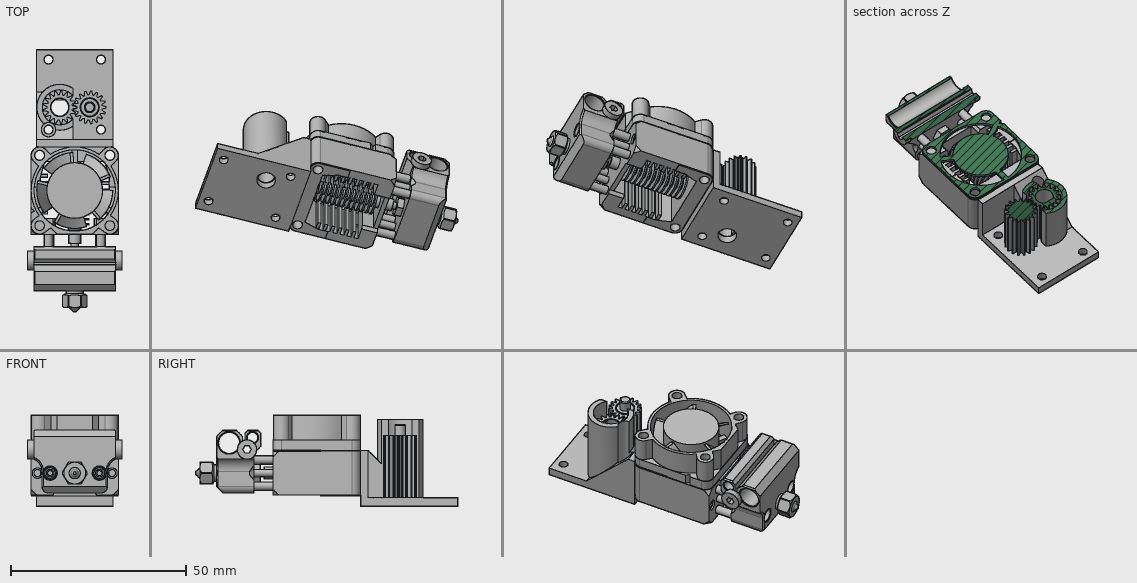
import cadquery as cq
import math


overall_length = 74.8

plate_width = 21.85
plate_length = 27.75
plate_bottom = -9.5
plate_top = -7.0
wall_thickness = 2.1
gusset_right = -0.5
plate_hole_diameter = 2.5
plate_hole_x = 7.5
plate_hole_rows = (4.9, 24.9)
screw_access_diameter = 4.1
tube_outer = 13.1
tube_inner = 10.0
tube_top = 15.3

gear_y = 11.3
gear_x = 4.3
teeth = 17
tip_radius = 4.7
root_radius = 3.6
tip_fraction = 0.2
root_fraction = 0.76
gear_top = 10.8
bore_diameter = 5.0
bore_flat = 2.0
bore_chamfer = 0.15
shaft_diameter = 3.1
shaft_top = 13.9
shaft_chamfer = 0.3
ring_groove_width = 0.2
ring_groove_depth = 0.2

sink_size = 25.0
sink_half_height = 6.5
sink_step = 0.2
sink_step_y = -11.4
back_corner_radius = 2.5
corner_cut = 1.65
window_back = -4.2
window_front = -20.35
window_half_width = 9.8
window_back_half_width = 8.5
window_taper_end = -8.6
fin_pitch = 2.1
fin_thickness = 0.9
fin_inner_x = 7.7
wall_fins = 7
channel_front = -23.6
channel_half_width = 5.5
channel_mouth = 6.4
channel_taper_height = 1.2
core_fin_diameter = 8.0
core_fin_thickness = 0.45
core_fin_pitch = 1.4
core_fins = 13
side_hole_x = 10.6
side_hole_diameter = 3
side_hole_depth = 0.5
side_hole_pilot = 2.0
side_hole_pilot_depth = 6

heat_break_diameter = 3.5
heat_break_end = -27.5
neck_diameter = 2.2
neck_end = -28.6
heat_break_hex = 5.0
rod_diameter = 2.5
rod_x = 7.5
rod_z = 3.75
screw_x = 7.0
screw_diameter = 2.2
screw_head_diameter = 3.1
screw_head_length = 1.5
socket_diameter = 2.2
socket_depth = 0.75
socket_core_diameter = 1.4
socket_core_depth = 0.75

block_width = 23.35
block_back = -30.45
block_front = -41.1
block_bottom = -5.7
block_top = 12.35
block_chamfer = 1.9
sensor_lobe_back = -28.4
sensor_lobe_low_z = 7.6
sensor_lobe_chamfer = 1.0
slot_back = -33.0
slot_front = -33.65
block_lower_half_width = 9.35
flank_radius = 3.9
flank_z = 0.45
block_bottom_radius = 1.9
front_bevel = 0.45
end_bevel = 0.4
bore_bevel = 0.2
cartridge_diameter = 6
cartridge_y = -37.5
cartridge_z = 8.6
sensor_diameter = 3
sensor_y = -30.8
sensor_z = 10.1
clamp_head_diameter = 5.5
clamp_head_length = 27.0
clamp_socket_diameter = 2.3
clamp_y = -32.4
clamp_z = 6.7
counterbore_diameter = 3.75
counterbore_depth = 6
counterbore_mouth = 4.1
counterbore_bevel = 0.2
driver_notch_radius = 2.25
driver_notch_depth = 2.9

nozzle_neck_diameter = 4.85
nozzle_hex_back = -41.75
nozzle_hex_front = -45.85
nozzle_hex = 6.3
nozzle_round = 7.1
nozzle_front_chamfer = 0.45
nozzle_back_taper = 0.7
tip_base_diameter = 3.2
tip_middle_diameter = 2.1
tip_middle = -46.3
tip_end_diameter = 0.8
tip_end = plate_length - overall_length

fan_y = -12.4
fan_top = 16.5
flange_top = 9.5
lug_offset = 10.0
lug_radius = 2.4
back_lug_angle = 45
front_lug_angle = 36
lug_neck_length = 3.75
fan_hole_diameter = 2.8
ring_outer_radius = 12.4
ring_inner_radius = 11.6
pad_half_width = 5.1
pad_flare = 2.25
wire_notch_back = -17.35
wire_notch_deepest = -18.3
wire_notch_front = -18.85
wire_notch_depth = 1.0
motor_radius = 7.9
motor_plate_thickness = 1.2
strut_width = 1.65
struts = 3
hub_top = 16.4
blades = 5
blade_radius = 10.85
blade_root_depth = 0.75
blade_width = 0.8
blade_bottom = 8.6
blade_top = 15.6
blade_sweep = 47
blade_top_angle = 95


def box(x0, x1, y0, y1, z0, z1):
    """A box between two opposite corners."""
    return cq.Workplane("XY").box(x1 - x0, y1 - y0, z1 - z0, centered=False).translate((x0, y0, z0))


def post(x, y, diameter, z0, z1):
    """A vertical cylinder."""
    return cq.Workplane("XY", origin=(x, y, z0)).circle(diameter / 2).extrude(z1 - z0)


def rod(x, z, diameter, y_back, y_front):
    """A cylinder along the filament direction."""
    return cq.Workplane("XZ", origin=(x, y_back, z)).circle(diameter / 2).extrude(y_back - y_front)


def hex_rod(across_flats, y_back, y_front):
    """A hexagonal bar on the filament axis, with flats at the top and bottom."""
    corner_diameter = across_flats / math.cos(math.pi / 6)
    return cq.Workplane("XZ", origin=(0, y_back, 0)).polygon(6, corner_diameter).extrude(y_back - y_front)


def cross_bore(y, z, diameter):
    """A cutter for a bore along X through the heater block, bevelled at both ends."""
    half_width = block_width / 2
    radius = diameter / 2
    mouth = radius + bore_bevel
    return (
        cq.Workplane("XY")
        .moveTo(-half_width, 0)
        .lineTo(-half_width, mouth)
        .lineTo(-half_width + bore_bevel, radius)
        .lineTo(half_width - bore_bevel, radius)
        .lineTo(half_width, mouth)
        .lineTo(half_width, 0)
        .close()
        .revolve(360, (0, 0, 0), (1, 0, 0))
        .translate((0, y, z))
    )


def make_bracket():
    half_width = plate_width / 2
    body = box(-half_width, half_width, 0, plate_length, plate_bottom, plate_top)
    body = body.union(box(-half_width, half_width, 0, wall_thickness, plate_top, sink_half_height))
    slope_run = sink_half_height - plate_top
    gusset = (
        cq.Workplane("YZ", origin=(-half_width, 0, 0))
        .moveTo(wall_thickness, plate_top)
        .lineTo(wall_thickness + slope_run, plate_top)
        .lineTo(wall_thickness, sink_half_height)
        .close()
        .extrude(gusset_right + half_width)
    )
    tube = post(-gear_x, gear_y, tube_outer, plate_top, tube_top)
    beyond_gusset = box(gusset_right, half_width, wall_thickness, plate_length, plate_top, tube_top)
    body = body.union(gusset).union(tube.cut(beyond_gusset))
    body = body.cut(post(-gear_x, gear_y, tube_inner, plate_top, tube_top))
    body = body.cut(post(-gear_x, gear_y, bore_diameter + 2 * bore_chamfer, plate_bottom, plate_top))
    for y in plate_hole_rows:
        for x in (-plate_hole_x, plate_hole_x):
            body = body.cut(post(x, y, plate_hole_diameter, plate_bottom, plate_top))
    return body.cut(post(-plate_hole_x, plate_hole_rows[0], screw_access_diameter, plate_top, tube_top))


def make_gear_blank(x):
    """A straight-toothed gear standing on the plate, one tooth pointing along +X."""
    pitch = 2 * math.pi / teeth
    tip_half = tip_fraction * pitch / 2
    root_half = root_fraction * pitch / 2
    outline = []
    for tooth in range(teeth):
        for radius, offset in (
            (root_radius, -root_half),
            (tip_radius, -tip_half),
            (tip_radius, tip_half),
            (root_radius, root_half),
        ):
            angle = tooth * pitch + offset
            outline.append((radius * math.cos(angle), radius * math.sin(angle)))
    workplane = cq.Workplane("XY", origin=(x, gear_y, plate_top))
    return workplane.polyline(outline).close().extrude(gear_top - plate_top)


def make_driven_gear():
    """The gear in the tube, with a bore flattened on its +Y side."""
    bore_radius = bore_diameter / 2
    bore = post(-gear_x, gear_y, bore_diameter, plate_top, gear_top)
    flat_y = gear_y + bore_flat
    beyond_flat = box(-gear_x - bore_radius, -gear_x + bore_radius, flat_y, flat_y + bore_radius,
                      plate_top, gear_top)
    mouth = (
        cq.Workplane("XY", origin=(-gear_x, gear_y, gear_top - bore_chamfer))
        .circle(bore_radius)
        .workplane(offset=bore_chamfer)
        .circle(bore_radius + bore_chamfer)
        .loft()
    )
    return make_gear_blank(-gear_x).cut(bore.cut(beyond_flat)).cut(mouth)


def make_pinion():
    """The second gear with its solid shaft."""
    shaft = post(gear_x, gear_y, shaft_diameter, gear_top, shaft_top).faces(">Z").chamfer(shaft_chamfer)
    groove_bottom = gear_top - ring_groove_depth
    groove_outer = bore_diameter + 2 * ring_groove_width
    groove = post(gear_x, gear_y, groove_outer, groove_bottom, gear_top)
    groove = groove.cut(post(gear_x, gear_y, bore_diameter, groove_bottom, gear_top))
    return make_gear_blank(gear_x).cut(groove).union(shaft)


def clipped_corner(x_side, z_side):
    """A pyramid that cuts one front corner off the heat sink."""
    x = x_side * sink_size / 2
    z = z_side * (sink_half_height - sink_step)
    corner = cq.Vector(x, -sink_size, z)
    ends = (
        cq.Vector(x - x_side * corner_cut, -sink_size, z),
        cq.Vector(x, -sink_size + corner_cut, z),
        cq.Vector(x, -sink_size, z - z_side * corner_cut),
    )
    triangles = [ends] + [(corner, ends[i], ends[(i + 1) % 3]) for i in range(3)]
    faces = [cq.Face.makeFromWires(cq.Wire.makePolygon(list(t), close=True)) for t in triangles]
    return cq.Workplane(cq.Solid.makeSolid(cq.Shell.makeShell(faces)))


def make_channel():
    """The cutter for the front of the air passage, with flared top and bottom mouths."""
    taper_z = sink_half_height - channel_taper_height
    half_outline = [
        (channel_mouth, sink_half_height),
        (channel_half_width, taper_z),
        (channel_half_width, -taper_z),
        (channel_mouth, -sink_half_height),
    ]
    outline = half_outline + [(-x, z) for x, z in reversed(half_outline)]
    channel = cq.Workplane("XZ", origin=(0, window_front, 0)).polyline(outline).close()
    channel = channel.extrude(sink_size + window_front)
    front_web = box(-sink_size / 2, sink_size / 2, -sink_size, channel_front, -taper_z, taper_z)
    return channel.cut(front_web)


def make_sink_block():
    half_size = sink_size / 2
    body = box(-half_size, half_size, -sink_size, 0, -sink_half_height, sink_half_height)
    body = body.edges("|Z and >Y").fillet(back_corner_radius)
    body = body.faces(">Z or <Z").edges().chamfer(sink_step)
    low_z = sink_half_height - sink_step
    for z0, z1 in ((low_z, sink_half_height), (-sink_half_height, -low_z)):
        body = body.cut(box(-half_size, half_size, -sink_size, sink_step_y, z0, z1))
    for x_side in (-1, 1):
        for z_side in (-1, 1):
            body = body.cut(clipped_corner(x_side, z_side))
        body = body.cut(post(x_side * lug_offset, fan_y + lug_offset, fan_hole_diameter,
                             -sink_half_height, sink_half_height))
        hole_x = x_side * side_hole_x
        body = body.cut(rod(hole_x, 0, side_hole_diameter, -sink_size + side_hole_depth, -sink_size))
        body = body.cut(rod(hole_x, 0, side_hole_pilot, -sink_size + side_hole_pilot_depth, -sink_size))
    window = (
        cq.Workplane("XY", origin=(0, 0, -sink_half_height))
        .moveTo(-window_back_half_width, window_back)
        .lineTo(window_back_half_width, window_back)
        .lineTo(window_half_width, window_taper_end)
        .lineTo(window_half_width, window_front)
        .lineTo(-window_half_width, window_front)
        .lineTo(-window_half_width, window_taper_end)
        .close()
        .extrude(2 * sink_half_height)
    )
    body = body.cut(window)
    return body.cut(make_channel())


def make_heat_sink():
    """The finned block with the heat break, spacer rods and clamp screws that carry the heater block."""
    body = make_sink_block()
    low_z = sink_half_height - sink_step
    for i in range(1, wall_fins):
        y = window_front + i * fin_pitch
        for x0, x1 in ((-window_half_width, -fin_inner_x), (fin_inner_x, window_half_width)):
            body = body.union(box(x0, x1, y - fin_thickness, y, -low_z, low_z))
    body = body.union(rod(0, 0, heat_break_diameter, window_back, heat_break_end))
    for i in range(core_fins):
        y = window_front + (i - 1) * core_fin_pitch
        body = body.union(rod(0, 0, core_fin_diameter, y, y - core_fin_thickness))
    body = body.union(rod(0, 0, neck_diameter, heat_break_end, neck_end))
    body = body.union(hex_rod(heat_break_hex, neck_end, block_back))
    for x_side in (-1, 1):
        for z in (-rod_z, rod_z):
            body = body.union(rod(x_side * rod_x, z, rod_diameter, -sink_size, block_back))
        body = body.union(make_clamp_screw(x_side * screw_x))
    return body


def make_clamp_screw(x):
    seat_y = block_front + counterbore_depth
    head_front = seat_y - screw_head_length
    screw = rod(x, 0, screw_diameter, -sink_size, seat_y)
    screw = screw.union(rod(x, 0, screw_head_diameter, seat_y, head_front))
    socket_floor = head_front + socket_depth
    screw = screw.cut(rod(x, 0, socket_diameter, socket_floor, head_front))
    return screw.cut(rod(x, 0, socket_core_diameter, socket_floor + socket_core_depth, socket_floor))


def make_block_profile():
    """The side outline of the heater block, with the two clamped lobes at its top."""
    return (
        cq.Workplane("YZ", origin=(-block_width / 2, 0, 0))
        .moveTo(block_back, block_bottom)
        .lineTo(block_back, sensor_lobe_low_z - (sensor_lobe_back - block_back))
        .lineTo(sensor_lobe_back, sensor_lobe_low_z)
        .lineTo(sensor_lobe_back, block_top - sensor_lobe_chamfer)
        .lineTo(sensor_lobe_back - sensor_lobe_chamfer, block_top)
        .lineTo(slot_back + sensor_lobe_chamfer, block_top)
        .lineTo(slot_back, block_top - sensor_lobe_chamfer)
        .lineTo(slot_back, clamp_z)
        .lineTo(slot_front, clamp_z)
        .lineTo(slot_front, block_top - block_chamfer)
        .lineTo(slot_front - block_chamfer, block_top)
        .lineTo(block_front + block_chamfer, block_top)
        .lineTo(block_front, block_top - block_chamfer)
        .lineTo(block_front, block_bottom + block_chamfer)
        .lineTo(block_front + block_chamfer, block_bottom)
        .close()
        .extrude(block_width)
    )


def make_flank(side):
    """The cutter that narrows the lower part of the heater block on one side."""
    lower_x = block_lower_half_width
    outer_x = lower_x + flank_radius
    diagonal = flank_radius * math.sqrt(0.5)
    corner = block_bottom_radius * (1 - math.sqrt(0.5))
    flank = (
        cq.Workplane("XZ")
        .moveTo(outer_x, flank_z + flank_radius)
        .threePointArc((outer_x - diagonal, flank_z + diagonal), (lower_x, flank_z))
        .lineTo(lower_x, block_bottom + block_bottom_radius)
        .threePointArc(
            (lower_x - corner, block_bottom + corner), (lower_x - block_bottom_radius, block_bottom)
        )
        .lineTo(outer_x, block_bottom)
        .close()
        .extrude(-block_front)
    )
    return flank if side > 0 else flank.mirror("YZ")


def flank_bevel_outline(plane, inset):
    """The flank outline moved into the block by an inset, with a plain lower end."""
    lower_x = block_lower_half_width - inset
    radius = flank_radius + inset
    outer_x = lower_x + radius
    diagonal = radius * math.sqrt(0.5)
    return (
        plane.moveTo(outer_x, flank_z + radius)
        .threePointArc((outer_x - diagonal, flank_z + diagonal), (lower_x, flank_z))
        .lineTo(lower_x, block_bottom)
        .lineTo(outer_x, block_bottom)
        .close()
    )


def make_flank_bevel(side):
    """The cutter that bevels the front edge of one flank."""
    bevel_back = cq.Workplane("XZ", origin=(0, block_front + front_bevel, 0))
    bevel_front = flank_bevel_outline(bevel_back, 0).workplane(offset=front_bevel)
    bevel = flank_bevel_outline(bevel_front, front_bevel).loft(ruled=True)
    return bevel if side > 0 else bevel.mirror("YZ")


def make_heater_block():
    body = make_block_profile().faces(">Z").edges("|Y").chamfer(end_bevel)
    body = body.cut(cross_bore(cartridge_y, cartridge_z, cartridge_diameter))
    body = body.cut(cross_bore(sensor_y, sensor_z, sensor_diameter))
    seat_y = block_front + counterbore_depth
    for side in (-1, 1):
        body = body.cut(make_flank(side)).cut(make_flank_bevel(side))
        screw_place = side * screw_x
        body = body.cut(rod(screw_place, 0, counterbore_diameter, seat_y, block_front))
        mouth = (
            cq.Workplane("XZ", origin=(screw_place, block_front + counterbore_bevel, 0))
            .circle(counterbore_diameter / 2)
            .workplane(offset=counterbore_bevel)
            .circle(counterbore_mouth / 2)
            .loft()
        )
        body = body.cut(mouth)
        body = body.cut(rod(screw_place, 0, screw_diameter, block_back, seat_y))
        notch = cq.Solid.makeCone(
            driver_notch_radius, 0, driver_notch_depth,
            cq.Vector(side * side_hole_x, block_back, 0), cq.Vector(0, -1, 0),
        )
        body = body.cut(cq.Workplane(notch))
    head_length = (clamp_head_length - block_width) / 2
    for start in (-clamp_head_length / 2, block_width / 2):
        head = cq.Workplane("YZ", origin=(start, clamp_y, clamp_z)).circle(clamp_head_diameter / 2)
        body = body.union(head.extrude(head_length))
    socket = cq.Workplane("YZ", origin=(-clamp_head_length / 2, clamp_y, clamp_z))
    return body.cut(socket.polygon(6, clamp_socket_diameter).extrude(clamp_head_length))


def make_nozzle():
    round_radius = nozzle_round / 2
    front_radius = round_radius - nozzle_front_chamfer
    neck_radius = nozzle_neck_diameter / 2
    rounding = (
        cq.Workplane("XY")
        .moveTo(0, nozzle_hex_back)
        .lineTo(neck_radius, nozzle_hex_back)
        .lineTo(round_radius, nozzle_hex_back - nozzle_back_taper)
        .lineTo(round_radius, nozzle_hex_front + nozzle_front_chamfer)
        .lineTo(front_radius, nozzle_hex_front)
        .lineTo(0, nozzle_hex_front)
        .close()
        .revolve(360, (0, 0, 0), (0, 1, 0))
    )
    tip = (
        cq.Workplane("XY")
        .moveTo(0, nozzle_hex_front)
        .lineTo(tip_base_diameter / 2, nozzle_hex_front)
        .lineTo(tip_middle_diameter / 2, tip_middle)
        .lineTo(tip_end_diameter / 2, tip_end)
        .lineTo(0, tip_end)
        .close()
        .revolve(360, (0, 0, 0), (0, 1, 0))
    )
    neck = rod(0, 0, nozzle_neck_diameter, block_front, nozzle_hex_back)
    return hex_rod(nozzle_hex, nozzle_hex_back, nozzle_hex_front).intersect(rounding).union(neck).union(tip)


def make_lug(x_side, y_side, neck_angle):
    """A round screw lug with a straight neck reaching inward into the fan ring."""
    x = x_side * lug_offset
    y = fan_y + y_side * lug_offset
    neck = box(0, lug_neck_length, -lug_radius, lug_radius, flange_top, fan_top)
    inward = math.degrees(math.atan2(
        -y_side * math.sin(math.radians(neck_angle)), -x_side * math.cos(math.radians(neck_angle))
    ))
    neck = neck.rotate((0, 0, 0), (0, 0, 1), inward).translate((x, y, 0))
    return post(x, y, 2 * lug_radius, flange_top, fan_top).union(neck)


def make_fan_ring():
    """The upper part of the fan frame: a ring, four lugs and a flat pad at the front."""
    height = fan_top - flange_top
    ring = post(0, fan_y, 2 * ring_outer_radius, flange_top, fan_top)
    pad_front = fan_y - lug_offset - lug_radius
    pad = (
        cq.Workplane("XY", origin=(0, 0, flange_top))
        .moveTo(-pad_half_width, pad_front)
        .lineTo(pad_half_width, pad_front)
        .lineTo(pad_half_width + pad_flare, pad_front + pad_flare)
        .lineTo(0, fan_y)
        .lineTo(-pad_half_width - pad_flare, pad_front + pad_flare)
        .close()
        .extrude(height)
    )
    ring = ring.union(pad)
    for y_side, neck_angle in ((1, back_lug_angle), (-1, front_lug_angle)):
        for x_side in (-1, 1):
            ring = ring.union(make_lug(x_side, y_side, neck_angle))
    return ring


def make_fan_frame():
    half_size = sink_size / 2
    flange = box(-half_size, half_size, -sink_size, 0, sink_half_height, flange_top)
    flange = flange.edges("|Z").fillet(back_corner_radius)
    wire_notch = (
        cq.Workplane("XY", origin=(0, 0, sink_half_height))
        .moveTo(-half_size, wire_notch_back)
        .lineTo(-half_size + wire_notch_depth, wire_notch_deepest)
        .lineTo(-half_size, wire_notch_front)
        .close()
        .extrude(flange_top - sink_half_height)
    )
    frame = flange.cut(wire_notch).union(make_fan_ring())
    frame = frame.cut(post(0, fan_y, 2 * ring_inner_radius, sink_half_height, fan_top))
    for x in (-lug_offset, lug_offset):
        for y in (-lug_offset, lug_offset):
            frame = frame.cut(post(x, fan_y + y, fan_hole_diameter, sink_half_height, fan_top))
    plate_top_z = sink_half_height + motor_plate_thickness
    frame = frame.union(post(0, fan_y, 2 * motor_radius, sink_half_height, plate_top_z))
    strut_end = (ring_inner_radius + ring_outer_radius) / 2
    strut = box(0, strut_end, -strut_width / 2, strut_width / 2, sink_half_height, plate_top_z)
    for i in range(struts):
        placed = strut.rotate((0, 0, 0), (0, 0, 1), 90 + i * 360 / struts).translate((0, fan_y, 0))
        frame = frame.union(placed)
    return frame


def make_fan_rotor():
    """The hub and its blades, which fall away counterclockwise from their upper edges."""
    rotor = post(0, fan_y, 2 * motor_radius, sink_half_height + motor_plate_thickness, hub_top)
    root = motor_radius - blade_root_depth
    half_width = blade_width / 2
    blade = (
        cq.Workplane("XY", origin=(0, 0, blade_bottom))
        .moveTo(root, -half_width)
        .lineTo(blade_radius, -half_width)
        .lineTo(blade_radius, half_width)
        .lineTo(root, half_width)
        .close()
        .twistExtrude(blade_top - blade_bottom, -blade_sweep)
    )
    for i in range(blades):
        angle = blade_top_angle + blade_sweep + i * 360 / blades
        rotor = rotor.union(blade.rotate((0, 0, 0), (0, 0, 1), angle).translate((0, fan_y, 0)))
    return rotor


bracket = make_bracket()
driven_gear = make_driven_gear()
pinion = make_pinion()
heat_sink = make_heat_sink()
heater_block = make_heater_block()
nozzle = make_nozzle()
fan_frame = make_fan_frame()
fan_rotor = make_fan_rotor()

bodies = (bracket, driven_gear, pinion, heat_sink, heater_block, nozzle, fan_frame, fan_rotor)
result = cq.Compound.makeCompound([body.solids().val() for body in bodies])